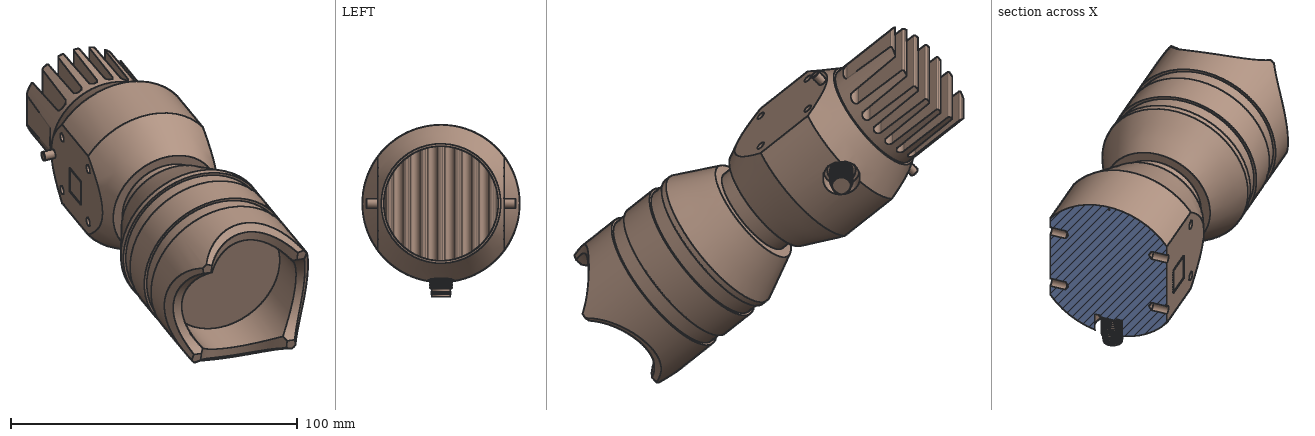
import cadquery as cq
import math

length = 145.8
overall_height = 60.0
max_radius = 55.0 / 2

fin_radius = 40.0 / 2
fin_pitch = 6.0
slot_count = 8
slot_end_diameter = 3.0
slot_mouth_width = 3.8
slot_end_x = 20.7
fin_tip_fillet = 0.6

rear_start = 25.5
rear_start_radius = 20.8
rear_full_start = 36.6
rear_full_end = 58.6
rear_end = 75.2
rear_end_radius = 20.0
flat_half_width = 22.0

neck_radius = 33.0 / 2

front_start = 81.8
front_start_radius = 19.8
front_full_start = 98.0
groove_radius = 53.0 / 2
groove_spans = [(100.1, 105.8), (117.8, 123.5)]

bore_radius = 21.9
bore_start = groove_spans[-1][1]
scallop_count = 4
scallop_turn = 6.5
scallop_center_x = 156.7
scallop_radius = 19.8
scallop_chamfer = 2.3
rim_tolerance = 0.01
shortest_rim = 1.5

hole_diameter = 3.0
hole_spacing = 22.0
hole_depth = 5.8
drill_tip_angle = 118.0
pin_diameter = 3.2
pin_x = 29.6
pin_height = 4.1
pin_chamfer = 0.1
label_size = 9.6
label_center = (47.5, -2.9)
label_depth = 0.3

connector_x = 40.5
connector_bottom = max_radius - overall_height
pocket_diameter = 12.8
pocket_floor = -20.3
flange_diameter = 9.9
flange_bottom = -21.0
connector_embed = 0.7
thread_diameter = 8.0
thread_root_diameter = 7.3
thread_pitch = 0.9
thread_end = -29.7
plug_diameter = 6.5
collar_diameter = 6.9
collar_top = -30.8
collar_bottom = -31.6
collar_slot_count = 20
collar_slot_width = 0.36


def make_body():
    """Revolve the stepped outline of the whole part about X."""
    outline = [
        (0, 0),
        (0, fin_radius),
        (rear_start, fin_radius),
        (rear_start, rear_start_radius),
        (rear_full_start, max_radius),
        (rear_full_end, max_radius),
        (rear_end, rear_end_radius),
        (rear_end, neck_radius),
        (front_start, neck_radius),
        (front_start, front_start_radius),
        (front_full_start, max_radius),
    ]
    for start, end in groove_spans:
        outline += [(start, max_radius), (start, groove_radius)]
        outline += [(end, groove_radius), (end, max_radius)]
    outline += [(length, max_radius), (length, 0)]
    return cq.Workplane("XY").polyline(outline).close().revolve(360, (0, 0, 0), (1, 0, 0))


def cut_fins(body):
    """Cut the tapered, round-ended slots that leave the vertical fins, then round the fin tips."""
    half_mouth = slot_mouth_width / 2
    half_end = slot_end_diameter / 2
    for i in range(slot_count):
        y = (i - (slot_count - 1) / 2) * fin_pitch
        slot = (
            cq.Workplane("XY")
            .moveTo(0, y - half_mouth)
            .lineTo(slot_end_x, y - half_end)
            .threePointArc((slot_end_x + half_end, y), (slot_end_x, y + half_end))
            .lineTo(0, y + half_mouth)
            .close()
            .extrude(rear_start_radius, both=True)
        )
        body = body.cut(slot)
    return body.faces("<X").edges("|Z").fillet(fin_tip_fillet)


def cut_flats(body):
    """Slice two parallel flats onto the sides of the rear housing."""
    housing_length = rear_end - rear_start
    for side in (-1, 1):
        slab = cq.Workplane("XY").box(housing_length, max_radius, 2 * max_radius).translate(
            ((rear_start + rear_end) / 2, side * (flat_half_width + max_radius / 2), 0)
        )
        body = body.cut(slab)
    return body


def cut_nose(body):
    """Bore the nose and cut the chamfered scallops that leave four pointed claws."""
    bore = cq.Workplane("YZ").workplane(offset=bore_start).circle(bore_radius).extrude(length - bore_start)
    body = body.cut(bore)
    for i in range(scallop_count):
        scallop = (
            cq.Workplane("XZ")
            .center(scallop_center_x, 0)
            .circle(scallop_radius)
            .extrude(2 * max_radius)
            .rotate((0, 0, 0), (1, 0, 0), -scallop_turn - i * 360 / scallop_count)
        )
        body = body.cut(scallop)
    outer_rims = [edge for edge in body.edges("not %CIRCLE").vals() if is_outer_rim(edge)]
    return body.newObject(outer_rims).chamfer(scallop_chamfer)


def is_outer_rim(edge):
    """Tell whether an edge is a scallop rim lying on the outer surface of the nose."""
    start = edge.startPoint()
    on_outer_surface = abs(math.hypot(start.y, start.z) - max_radius) < rim_tolerance
    in_nose = bore_start < edge.Center().x < length
    return on_outer_surface and in_nose and edge.BoundingBox().xlen > shortest_rim


def add_flat_details(body):
    """Drill the mounting holes, add the locating pins and sink the label square."""
    hole_radius = hole_diameter / 2
    tip_height = hole_radius / math.tan(math.radians(drill_tip_angle / 2))
    tip_depth = hole_depth + tip_height
    drill = (
        cq.Workplane("XY")
        .polyline([(0, 0), (hole_radius, 0), (hole_radius, hole_depth), (0, tip_depth)])
        .close()
        .revolve(360, (0, 0, 0), (0, 1, 0))
    )
    pin = (
        cq.Workplane("XZ")
        .circle(pin_diameter / 2)
        .extrude(flat_half_width + pin_height, both=True)
        .faces("<Y or >Y")
        .chamfer(pin_chamfer)
        .translate((pin_x, 0, 0))
    )
    for z in (-hole_spacing / 2, hole_spacing / 2):
        blind_hole = drill.translate((rear_full_start, -flat_half_width, z))
        body = body.cut(blind_hole).cut(blind_hole.mirror("XZ"))
        through_hole = (
            cq.Workplane("XZ")
            .center(rear_full_end, z)
            .circle(hole_radius)
            .extrude(flat_half_width, both=True)
        )
        body = body.cut(through_hole)
    label = cq.Workplane("XY").box(label_size, 2 * label_depth, label_size).translate(
        (label_center[0], -flat_half_width, label_center[1])
    )
    return body.union(pin).cut(label)


def make_connector():
    """Build the flanged, threaded plug with its slotted collar, let into the pocket floor."""
    root_radius = thread_root_diameter / 2
    crest_radius = thread_diameter / 2
    plug_radius = plug_diameter / 2
    flange_radius = flange_diameter / 2
    flange_top = pocket_floor + connector_embed
    outline = [(0, flange_top), (flange_radius, flange_top), (flange_radius, flange_bottom)]
    thread_count = round((flange_bottom - thread_end) / thread_pitch)
    for i in range(thread_count):
        top = flange_bottom - i * thread_pitch
        outline += [(root_radius, top), (crest_radius, top - thread_pitch / 2)]
    outline += [(root_radius, thread_end), (plug_radius, thread_end)]
    outline += [(plug_radius, connector_bottom), (0, connector_bottom)]
    plug = cq.Workplane("XZ").polyline(outline).close().revolve(360, (0, 0, 0), (0, 1, 0))

    collar_height = collar_top - collar_bottom
    collar = (
        cq.Workplane("XY")
        .workplane(offset=collar_bottom)
        .circle(collar_diameter / 2)
        .extrude(collar_height)
    )
    for i in range(collar_slot_count):
        slot = (
            cq.Workplane("XY")
            .box(collar_diameter, collar_slot_width, collar_height, centered=(False, True, False))
            .translate((0, 0, collar_bottom))
            .rotate((0, 0, 0), (0, 0, 1), i * 360 / collar_slot_count)
        )
        collar = collar.cut(slot)
    return plug.union(collar).translate((connector_x, 0, 0))


def add_connector(body):
    """Sink a round pocket into the underside and stand the connector in it."""
    pocket = (
        cq.Workplane("XY")
        .workplane(offset=pocket_floor)
        .center(connector_x, 0)
        .circle(pocket_diameter / 2)
        .extrude(-max_radius)
    )
    return body.cut(pocket).union(make_connector())


body = cut_fins(make_body())
body = cut_flats(body)
body = cut_nose(body)
body = add_flat_details(body)
result = add_connector(body)